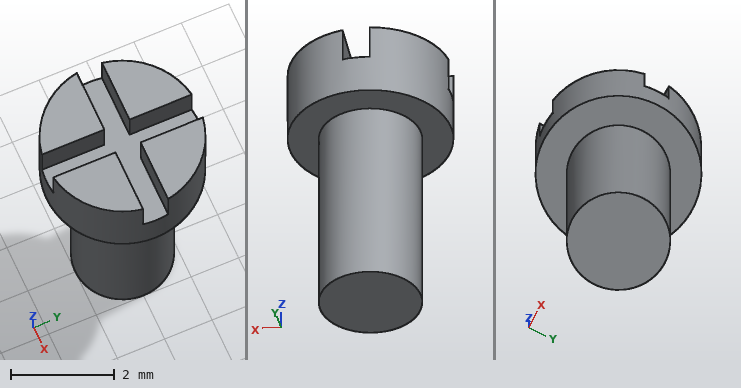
import cadquery as cq

total_height = 5.4
head_diameter = 3.2
head_height = 1.5
shank_diameter = 2.0
slot_width = 0.53
slot_depth = 0.7

shank_length = total_height - head_height


def make_body():
    """Plain shank with the wider cylindrical head on top."""
    shank = cq.Workplane("XY").circle(shank_diameter / 2).extrude(shank_length)
    return shank.faces(">Z").workplane().circle(head_diameter / 2).extrude(head_height)


def make_slot(angle):
    """Cutter for one slot across the whole head, turned about the screw axis."""
    return (
        cq.Workplane("XY", origin=(0, 0, total_height - slot_depth))
        .rect(head_diameter, slot_width)
        .extrude(slot_depth)
        .rotate((0, 0, 0), (0, 0, 1), angle)
    )


result = make_body()
for slot_angle in (0, 90):
    result = result.cut(make_slot(slot_angle))